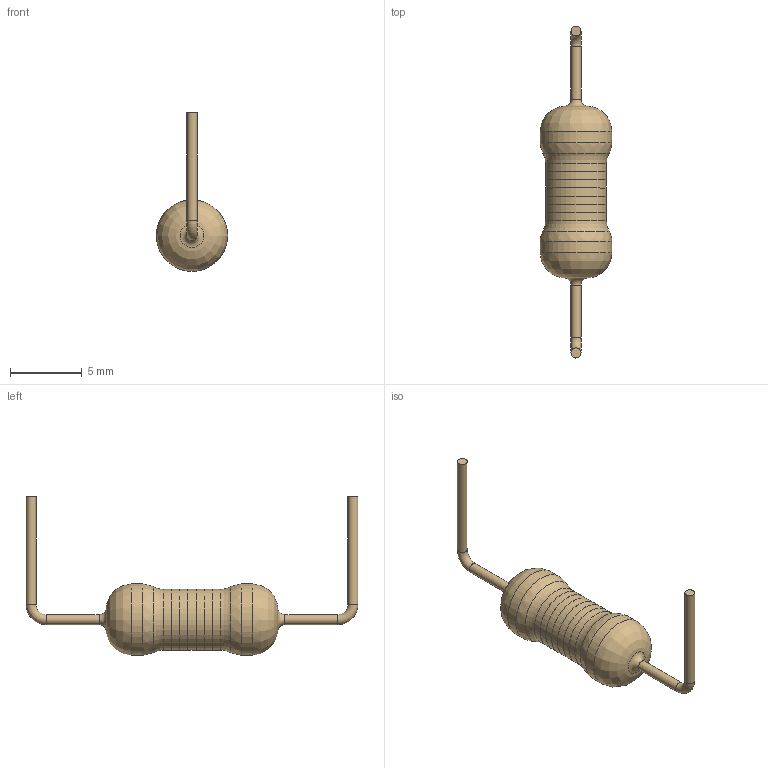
import cadquery as cq
import math

BODY_LENGTH = 12.0
CAP_DIAMETER = 5.0
CORE_DIAMETER = 4.25
BAND_DIAMETER = 4.27
CORE_LENGTH = 4.0
CORE_SEGMENTS = 7
CAP_ROUND_RADIUS = 1.75
SHOULDER_RADIUS = 1.5

WIRE_DIAMETER = 0.7
LEAD_SPAN = 22.5
LEAD_HEIGHT = 8.6
BEND_RADIUS = 1.05
NECK_RADIUS = 0.5

wire_radius = WIRE_DIAMETER / 2
cap_radius = CAP_DIAMETER / 2
core_radius = CORE_DIAMETER / 2
band_radius = BAND_DIAMETER / 2
half_core = CORE_LENGTH / 2
half_span = LEAD_SPAN / 2

cap_outer_y = BODY_LENGTH / 2 - CAP_ROUND_RADIUS
shoulder_rise = cap_radius - core_radius
shoulder_run = math.sqrt(shoulder_rise * (4 * SHOULDER_RADIUS - shoulder_rise))
cap_inner_y = half_core + shoulder_run
shoulder_mid_y = (half_core + cap_inner_y) / 2
shoulder_mid_radius = (core_radius + cap_radius) / 2

cap_round_center = cap_radius - CAP_ROUND_RADIUS
neck_center = wire_radius + NECK_RADIUS
round_to_neck = CAP_ROUND_RADIUS + NECK_RADIUS
neck_angle = math.degrees(math.acos((neck_center - cap_round_center) / round_to_neck))
neck_end_y = cap_outer_y + round_to_neck * math.sin(math.radians(neck_angle))


def arc_point(center, radius, degrees):
    """Point on a circle at the given angle from the first coordinate axis."""
    angle = math.radians(degrees)
    return (center[0] + radius * math.cos(angle), center[1] + radius * math.sin(angle))


def half_body_profile():
    """Radial profile of the +Y half, without the raised bands."""
    neck_base = arc_point((cap_round_center, cap_outer_y), CAP_ROUND_RADIUS, neck_angle)
    return (
        cq.Workplane("XY")
        .lineTo(core_radius, 0)
        .lineTo(core_radius, half_core)
        .tangentArcPoint((shoulder_mid_radius, shoulder_mid_y), relative=False)
        .tangentArcPoint((cap_radius, cap_inner_y), relative=False)
        .lineTo(cap_radius, cap_outer_y)
        .tangentArcPoint(neck_base, relative=False)
        .tangentArcPoint((wire_radius, neck_end_y), relative=False)
        .lineTo(0, neck_end_y)
        .close()
    )


def make_body():
    """Core, caps and necks, turned about Y and mirrored to the -Y half."""
    half = half_body_profile().revolve(360, (0, 0, 0), (0, 1, 0))
    return half.union(half.mirror("XZ"))


def make_band(index):
    """Raised disc filling one segment of the core, counted from -Y."""
    segment_length = CORE_LENGTH / CORE_SEGMENTS
    start_y = -half_core + index * segment_length
    return cq.Workplane("XZ", origin=(0, start_y, 0)).circle(band_radius).extrude(-segment_length)


def make_lead():
    """Wire leaving the +Y end of the body and bending up to +Z."""
    bend_start_y = half_span - BEND_RADIUS
    path = (
        cq.Workplane("YZ")
        .moveTo(neck_end_y, 0)
        .lineTo(bend_start_y, 0)
        .tangentArcPoint((half_span, BEND_RADIUS), relative=False)
        .lineTo(half_span, LEAD_HEIGHT)
    )
    return cq.Workplane("XZ", origin=(0, neck_end_y, 0)).circle(wire_radius).sweep(path)


result = make_body()
for band_index in range(1, CORE_SEGMENTS, 2):
    result = result.union(make_band(band_index))

lead = make_lead()
result = result.union(lead).union(lead.mirror("XZ"))